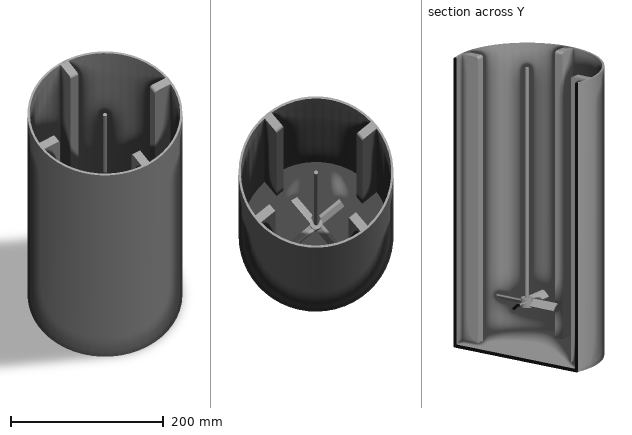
import cadquery as cq
import math

height = 396.5
outer_diameter = 203.0
wall_thickness = 3.0
floor_thickness = wall_thickness

baffle_count = 4
baffle_width = 12.0
baffle_tip_radius = 73.7
baffle_fillet = 4.0

shaft_diameter = 5.0
shaft_top_gap = 2.8
hub_diameter = 16.3
hub_height = 12.0
impeller_clearance = 63.5

blade_count = 4
blade_tip_radius = 44.5
blade_thickness = 2.0
blade_fold_offset = 2.0
pitched_panel_width = 9.5
pitched_panel_angle = 45.0
upper_panel_width = 4.0
upper_panel_angle = 15.0

outer_radius = outer_diameter / 2
inner_radius = outer_radius - wall_thickness
baffle_height = height - floor_thickness
hub_bottom = floor_thickness + impeller_clearance
pitched_panel_rise = pitched_panel_width * math.sin(math.radians(pitched_panel_angle))
fold_height = hub_bottom + (hub_height + pitched_panel_rise) / 2
shaft_top = height - shaft_top_gap


def make_baffle(angle):
    """Radial plate from mid-wall inward, standing on the floor, with its top inner edge rounded."""
    root_radius = outer_radius - wall_thickness / 2
    plate = (
        cq.Workplane("XY")
        .workplane(offset=floor_thickness)
        .center((baffle_tip_radius + root_radius) / 2, 0)
        .rect(root_radius - baffle_tip_radius, baffle_width)
        .extrude(baffle_height)
        .faces(">Z")
        .edges("<X")
        .fillet(baffle_fillet)
    )
    return plate.rotate((0, 0, 0), (0, 0, 1), angle)


def make_vessel():
    """Open-topped round tank with baffles around its inner wall."""
    tank = cq.Workplane("XY").circle(outer_radius).extrude(height)
    cavity = cq.Workplane("XY").workplane(offset=floor_thickness).circle(inner_radius).extrude(baffle_height)
    tank = tank.cut(cavity)
    for i in range(baffle_count):
        tank = tank.union(make_baffle(i * 360 / baffle_count))
    return tank


def make_panel(width, angle):
    """Flat panel along X whose top face slopes upward in +Y; a negative width lies below the fold line."""
    return (
        cq.Workplane("YZ")
        .rect(width, -blade_thickness, centered=False)
        .extrude(blade_tip_radius)
        .rotate((0, 0, 0), (1, 0, 0), angle)
        .translate((0, blade_fold_offset, fold_height))
    )


def make_blade(angle):
    """Blade bent along a radial fold: a steep panel below the fold and a shallow one above it."""
    blade = make_panel(-pitched_panel_width, pitched_panel_angle).union(
        make_panel(upper_panel_width, upper_panel_angle)
    )
    return blade.rotate((0, 0, 0), (0, 0, 1), angle)


def make_impeller():
    """Shaft, hub and pitched blades in one piece."""
    hub = cq.Workplane("XY").workplane(offset=hub_bottom).circle(hub_diameter / 2).extrude(hub_height)
    shaft = (
        cq.Workplane("XY")
        .workplane(offset=hub_bottom)
        .circle(shaft_diameter / 2)
        .extrude(shaft_top - hub_bottom)
    )
    impeller = hub.union(shaft)
    for i in range(blade_count):
        impeller = impeller.union(make_blade(i * 360 / blade_count))
    return impeller


vessel = make_vessel()
impeller = make_impeller()

result = cq.Compound.makeCompound([vessel.val(), impeller.val()])